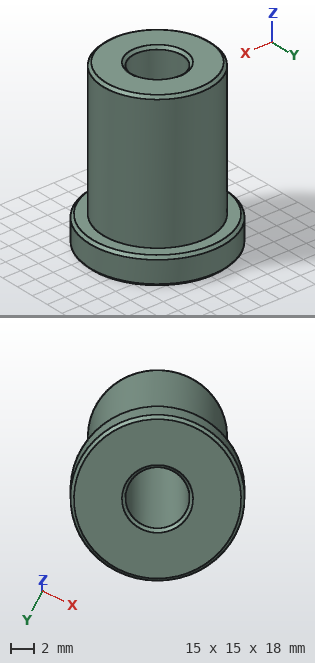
import cadquery as cq

total_height = 18.0
flange_diameter = 15.0
flange_height = 3.0
shank_diameter = 12.0
bore_diameter = 5.5
edge_chamfer = 0.3


def chamfered_disc(diameter, height):
    """Cylinder on the XY plane with both rims chamfered."""
    disc = cq.Workplane("XY").circle(diameter / 2).extrude(height)
    return disc.faces("<Z or >Z").edges().chamfer(edge_chamfer)


def bore_cutter():
    """Through bore with a matching countersink at each end."""
    bore_radius = bore_diameter / 2
    mouth_radius = bore_radius + edge_chamfer
    profile = (
        cq.Workplane("XZ")
        .moveTo(0, 0)
        .lineTo(mouth_radius, 0)
        .lineTo(bore_radius, edge_chamfer)
        .lineTo(bore_radius, total_height - edge_chamfer)
        .lineTo(mouth_radius, total_height)
        .lineTo(0, total_height)
        .close()
    )
    return profile.revolve(360, (0, 0, 0), (0, 1, 0))


flange = chamfered_disc(flange_diameter, flange_height)

shank_start = flange_height / 2
shank = chamfered_disc(shank_diameter, total_height - shank_start).translate((0, 0, shank_start))

result = flange.union(shank).cut(bore_cutter())